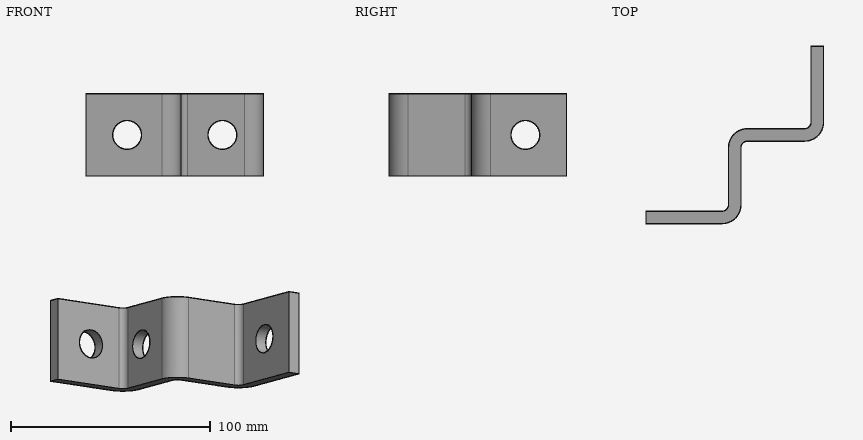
import cadquery as cq

overall_x = 88.94
overall_y = 88.91
bar_width = 41.27
thickness = 6.35
inner_bend_radius = 3.175
outer_bend_radius = inner_bend_radius + thickness
hole_diameter = 14.29
hole_to_end = bar_width / 2

leg_x = (overall_x + thickness) / 2
leg_y = (overall_y + thickness) / 2
step_x = leg_x - thickness
step_y = leg_y - thickness


def folded_bar():
    """Extrude the staircase profile along Z and round both sides of each bend."""
    profile = [
        (0, 0),
        (leg_x, 0),
        (leg_x, step_y),
        (overall_x, step_y),
        (overall_x, overall_y),
        (overall_x - thickness, overall_y),
        (overall_x - thickness, leg_y),
        (step_x, leg_y),
        (step_x, thickness),
        (0, thickness),
    ]
    outer_corners = [(leg_x, 0), (step_x, leg_y), (overall_x, step_y)]
    inner_corners = [(step_x, thickness), (leg_x, step_y), (overall_x - thickness, leg_y)]

    bar = cq.Workplane("XY").polyline(profile).close().extrude(bar_width)
    bar = round_corners(bar, outer_corners, outer_bend_radius)
    return round_corners(bar, inner_corners, inner_bend_radius)


def round_corners(body, corners, radius):
    """Fillet the vertical edges that stand on the given XY corners."""
    for x, y in corners:
        edge = cq.selectors.NearestToPointSelector((x, y, bar_width / 2))
        body = body.edges("|Z").edges(edge).fillet(radius)
    return body


def hole_cutter(start, direction):
    """Cylinder that passes through one leg, starting on the leg's face."""
    return cq.Workplane(cq.Solid.makeCylinder(hole_diameter / 2, thickness, start, direction))


along_x = cq.Vector(1, 0, 0)
along_y = cq.Vector(0, 1, 0)
mid_height = bar_width / 2

holes = [
    (cq.Vector(hole_to_end, 0, mid_height), along_y),
    (cq.Vector(overall_x - hole_to_end, step_y, mid_height), along_y),
    (cq.Vector(overall_x - thickness, overall_y - hole_to_end, mid_height), along_x),
]

result = folded_bar()
for hole_start, hole_direction in holes:
    result = result.cut(hole_cutter(hole_start, hole_direction))